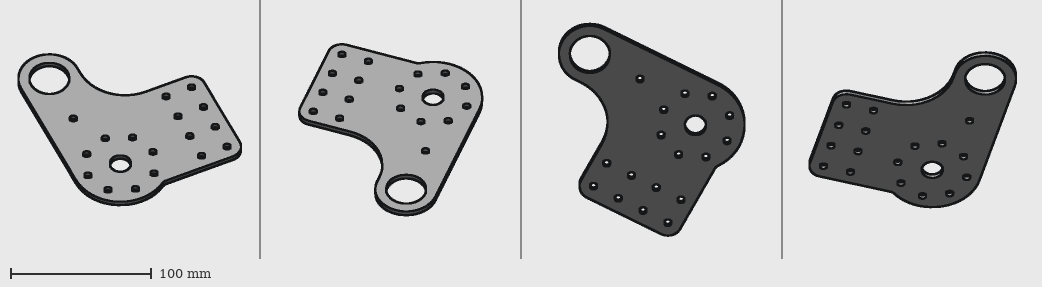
import cadquery as cq
import math

length = 149.0
width = 120.4
thickness = 4.0

ring_end_radius = 22.0
hub_end_radius = 35.0
ring_x, ring_y = ring_end_radius, ring_end_radius
hub_x, hub_y = length - hub_end_radius, hub_end_radius

grid_pitch = 20.0
grid_columns, grid_rows = 4, 2
corner_radius = 10.0
arm_left = 62.0
arm_right = arm_left + (grid_columns - 1) * grid_pitch + 2 * corner_radius
inner_bend_radius = 35.0
neck_radius = 5.0

small_hole_diameter = 5.0
ring_bore_diameter = 28.5
hub_bore_diameter = 15.0
bolt_circle_radius = 25.5
bolt_count = 8
single_hole_offset = 40.4


def point_on_circle(x, y, radius, degrees):
    angle = math.radians(degrees)
    return (x + radius * math.cos(angle), y + radius * math.sin(angle))


def make_plate():
    neck_x = arm_right + neck_radius
    neck_angle = math.degrees(math.acos((neck_x - hub_x) / (hub_end_radius + neck_radius)))
    neck_y = hub_y + (neck_x - hub_x) * math.tan(math.radians(neck_angle))
    neck_end = point_on_circle(hub_x, hub_y, hub_end_radius, neck_angle)
    neck_middle = point_on_circle(neck_x, neck_y, neck_radius, 180 + neck_angle / 2)
    hub_middle = point_on_circle(hub_x, hub_y, hub_end_radius, -45)

    ring_top = ring_y + ring_end_radius
    bend_x = arm_left - inner_bend_radius
    bend_y = ring_top + inner_bend_radius
    bend_middle = point_on_circle(bend_x, bend_y, inner_bend_radius, -45)

    corner_y = width - corner_radius
    right_corner_x = arm_right - corner_radius
    left_corner_x = arm_left + corner_radius
    right_corner_middle = point_on_circle(right_corner_x, corner_y, corner_radius, 45)
    left_corner_middle = point_on_circle(left_corner_x, corner_y, corner_radius, 135)

    return (
        cq.Workplane("XY")
        .moveTo(ring_x, 0)
        .lineTo(hub_x, 0)
        .threePointArc(hub_middle, neck_end)
        .threePointArc(neck_middle, (arm_right, neck_y))
        .lineTo(arm_right, corner_y)
        .threePointArc(right_corner_middle, (right_corner_x, width))
        .lineTo(left_corner_x, width)
        .threePointArc(left_corner_middle, (arm_left, corner_y))
        .lineTo(arm_left, bend_y)
        .threePointArc(bend_middle, (bend_x, ring_top))
        .lineTo(ring_x, ring_top)
        .threePointArc((0, ring_y), (ring_x, 0))
        .close()
        .extrude(thickness)
    )


def drill(plate, centers, diameter):
    cutters = cq.Workplane("XY").pushPoints(centers).circle(diameter / 2).extrude(thickness)
    return plate.cut(cutters)


grid_holes = [
    (arm_left + corner_radius + column * grid_pitch, width - corner_radius - row * grid_pitch)
    for column in range(grid_columns)
    for row in range(grid_rows)
]
bolt_holes = [
    point_on_circle(hub_x, hub_y, bolt_circle_radius, index * 360 / bolt_count)
    for index in range(bolt_count)
]
single_hole = (ring_x + single_hole_offset, ring_y)

result = make_plate()
result = drill(result, grid_holes + bolt_holes + [single_hole], small_hole_diameter)
result = drill(result, [(ring_x, ring_y)], ring_bore_diameter)
result = drill(result, [(hub_x, hub_y)], hub_bore_diameter)